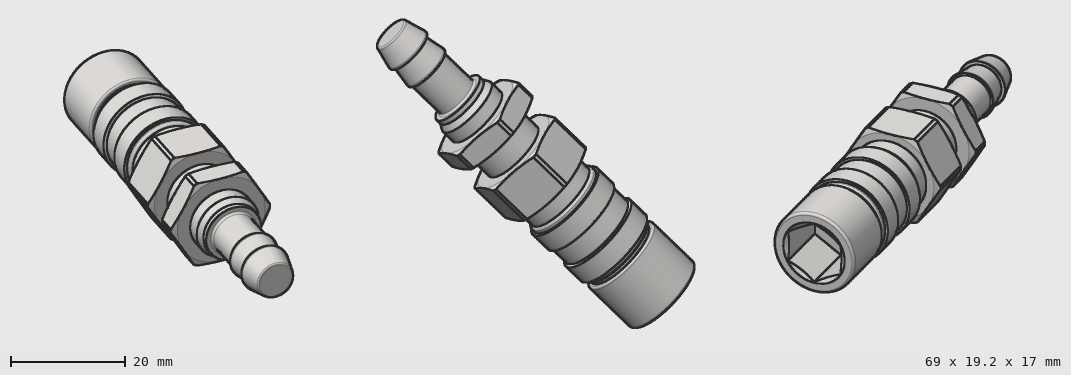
import cadquery as cq
import math


total_length = 69.0
sleeve_end = 10.8
collar_start = 11.5
collar_ring_start = 12.5
ring_width = 4.0
label_groove_end = 20.85
collar_end = 26.0
body_hex_start = 29.3
body_hex_end = 37.9
nut_start = 42.85
nut_end = 47.05
thread_end = 49.7
runout_cone_end = 51.0
runout_end = 52.0
first_barb_start = 59.9
second_barb_start = 64.45
barb_land = 0.4

sleeve_dia = 15.8
ring_dia = 16.15
collar_dia = 15.1
neck_dia = 14.0
thread_dia = 12.0
runout_dia = 10.6
stem_dia = 8.1
barb_dia = 9.0
barb_root_dia = 7.6
tip_dia = 6.8

sleeve_front_round = 0.5
sleeve_rear_round = 0.4
collar_front_round = 0.4
collar_rear_round = 0.6
groove_side_slope = 0.3
stem_root_round = 0.4
tip_round = 0.35

hex_across_flats = 17.0
hex_corner_dia = 19.2
hex_chamfer_length = 0.35

socket_across_flats = 10.2
socket_depth = 10.35
socket_mouth_dia = 12.0
socket_cone_half_angle = 60.0


def disc(start, end, dia):
    """Solid cylinder about the X axis."""
    return cq.Workplane("YZ", origin=(start, 0, 0)).circle(dia / 2).extrude(end - start)


def cone(start, end, start_dia, end_dia):
    """Solid cone, pointed or truncated, about the X axis."""
    origin = cq.Vector(start, 0, 0)
    axis = cq.Vector(1, 0, 0)
    return cq.Workplane(cq.Solid.makeCone(start_dia / 2, end_dia / 2, end - start, origin, axis))


def hex_prism(start, end, across_flats):
    """Hexagonal prism along X with corners on the Y axis."""
    corner_dia = across_flats / math.cos(math.pi / 6)
    return cq.Workplane("YZ", origin=(start, 0, 0)).polygon(6, corner_dia).extrude(end - start)


def wrench_hex(start, end):
    """Hexagon with turned corners and both ends chamfered down to the flats."""
    chamfer_start = start + hex_chamfer_length
    chamfer_end = end - hex_chamfer_length
    envelope = (
        disc(chamfer_start, chamfer_end, hex_corner_dia)
        .union(cone(start, chamfer_start, hex_across_flats, hex_corner_dia))
        .union(cone(chamfer_end, end, hex_corner_dia, hex_across_flats))
    )
    return hex_prism(start, end, hex_across_flats).intersect(envelope)


def sleeve():
    return (
        disc(0, sleeve_end, sleeve_dia)
        .faces("<X").edges().fillet(sleeve_front_round)
        .faces(">X").edges().fillet(sleeve_rear_round)
    )


def collar():
    """Collar with two raised rings either side of the label groove."""
    core = (
        disc(collar_start, collar_end, collar_dia)
        .faces("<X").edges().fillet(collar_front_round)
        .faces(">X").edges().fillet(collar_rear_round)
    )
    for ring_start in (collar_ring_start, label_groove_end):
        core = core.union(disc(ring_start, ring_start + ring_width, ring_dia))
    slope_start = collar_ring_start + ring_width
    return core.union(cone(slope_start, slope_start + groove_side_slope, ring_dia, collar_dia))


def threaded_end():
    return (
        disc(body_hex_end, thread_end, thread_dia)
        .union(cone(thread_end, runout_cone_end, thread_dia, runout_dia))
        .union(disc(runout_cone_end, runout_end, runout_dia))
    )


def hose_tail():
    """Stem with a rounded root and two barbs tapering towards the tip."""
    stem_radius = stem_dia / 2
    barb_radius = barb_dia / 2
    arc_offset = stem_root_round * (1 - math.sqrt(0.5))
    outline = (
        cq.Workplane("XY")
        .moveTo(runout_end, 0)
        .lineTo(runout_end, stem_radius + stem_root_round)
        .threePointArc(
            (runout_end + arc_offset, stem_radius + arc_offset),
            (runout_end + stem_root_round, stem_radius),
        )
        .lineTo(first_barb_start, stem_radius)
        .lineTo(first_barb_start, barb_radius)
        .lineTo(first_barb_start + barb_land, barb_radius)
        .lineTo(second_barb_start, barb_root_dia / 2)
        .lineTo(second_barb_start, barb_radius)
        .lineTo(second_barb_start + barb_land, barb_radius)
        .lineTo(total_length, tip_dia / 2)
        .lineTo(total_length, 0)
        .close()
    )
    tail = outline.revolve(360, (0, 0, 0), (1, 0, 0))
    return tail.faces(">X").edges().fillet(tip_round)


def socket():
    """Blind hexagonal socket with a conical lead-in."""
    cone_depth = socket_mouth_dia / 2 / math.tan(math.radians(socket_cone_half_angle))
    lead_in = cone(0, cone_depth, socket_mouth_dia, 0)
    return hex_prism(0, socket_depth, socket_across_flats).rotate((0, 0, 0), (1, 0, 0), 90).union(lead_in)


result = (
    sleeve()
    .union(disc(sleeve_end - sleeve_rear_round, body_hex_start, neck_dia))
    .union(collar())
    .union(wrench_hex(body_hex_start, body_hex_end))
    .union(threaded_end())
    .union(wrench_hex(nut_start, nut_end))
    .union(hose_tail())
    .cut(socket())
)